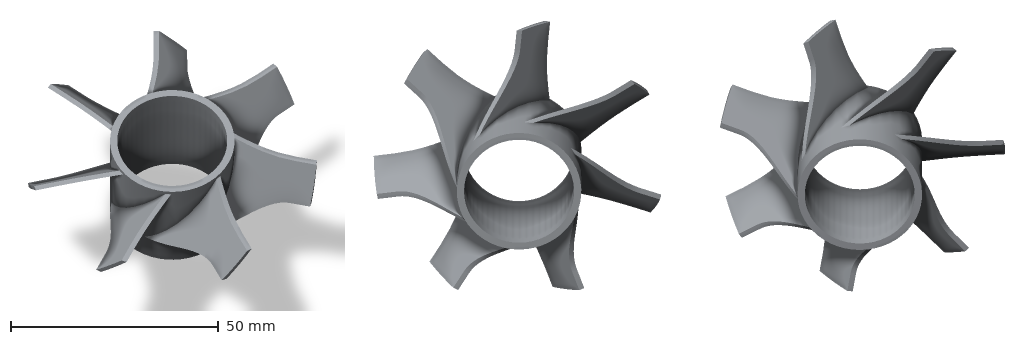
import cadquery as cq

hub_outer_radius = 15.0
hub_inner_radius = 13.25
hub_height = 28.41

blade_count = 7
blade_thickness = 1.0
blade_lean = 40.0
blade_middle_height = 20.9

tip_radius = 35.0
tip_straight_radius = 30.0
tip_top = 25.0
tip_bottom = 16.9
root_top = 27.4
root_bottom = 7.5
root_bottom_slope = 1.1

root_radius = (hub_outer_radius + hub_inner_radius) / 2


def make_hub():
    return cq.Workplane("XY").circle(hub_outer_radius).circle(hub_inner_radius).extrude(hub_height)


def make_blade_envelope():
    """Ring that bounds the blades: the blade outline turned about the Z axis."""
    lower_edge_bend = hub_outer_radius + (tip_bottom - root_bottom) / root_bottom_slope
    upper_edge_bend = (hub_outer_radius + tip_straight_radius) / 2
    return (
        cq.Workplane("XZ")
        .moveTo(root_radius, root_bottom)
        .lineTo(hub_outer_radius, root_bottom)
        .bezier(
            [
                (hub_outer_radius, root_bottom),
                (lower_edge_bend, tip_bottom),
                (tip_straight_radius, tip_bottom),
            ]
        )
        .lineTo(tip_radius, tip_bottom)
        .lineTo(tip_radius, tip_top)
        .lineTo(tip_straight_radius, tip_top)
        .bezier(
            [
                (tip_straight_radius, tip_top),
                (upper_edge_bend, tip_top),
                (hub_outer_radius, root_top),
            ]
        )
        .lineTo(root_radius, root_top)
        .close()
        .revolve(360, (0, 0, 0), (0, 1, 0))
    )


def make_leaning_plate():
    """Flat plate along -Y, leaning towards +X as it rises."""
    plate_height = 2 * hub_height
    return (
        cq.Workplane("XY")
        .box(blade_thickness, 2 * tip_radius, plate_height)
        .translate((0, -tip_radius, 0))
        .rotate((0, 0, 0), (0, 1, 0), blade_lean)
        .translate((0, 0, blade_middle_height))
    )


blade = make_blade_envelope().intersect(make_leaning_plate())
result = make_hub()
for index in range(blade_count):
    result = result.union(blade.rotate((0, 0, 0), (0, 0, 1), index * 360 / blade_count))